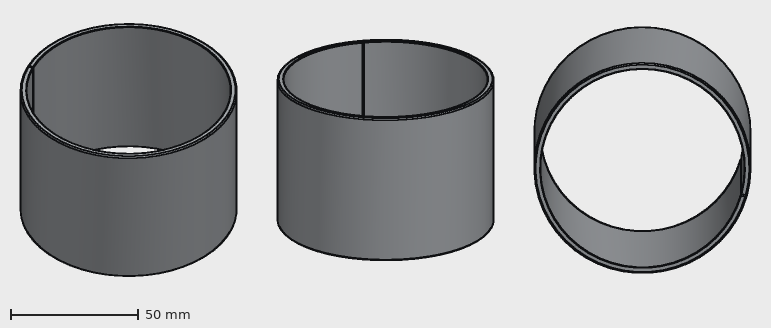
import cadquery as cq

outer_diameter = 85.0
wall = 2.5
height = 60.0
slit_angle = 1.0
outer_chamfer = 0.6
inner_chamfer = 0.25

outer_radius = outer_diameter / 2
inner_radius = outer_radius - wall
half_height = height / 2


def wall_section():
    """Wall cross-section on the -X side, with all four corners chamfered."""
    outer_corner_z = half_height - outer_chamfer
    inner_corner_z = half_height - inner_chamfer
    outer_rim_x = -outer_radius + outer_chamfer
    inner_rim_x = -inner_radius - inner_chamfer
    return (
        cq.Workplane("XZ")
        .moveTo(-outer_radius, -outer_corner_z)
        .lineTo(-outer_radius, outer_corner_z)
        .lineTo(outer_rim_x, half_height)
        .lineTo(inner_rim_x, half_height)
        .lineTo(-inner_radius, inner_corner_z)
        .lineTo(-inner_radius, -inner_corner_z)
        .lineTo(inner_rim_x, -half_height)
        .lineTo(outer_rim_x, -half_height)
        .close()
    )


sleeve_angle = 360 - slit_angle
axis_start = (0, 0, 0)
axis_end = (0, 1, 0)
result = wall_section().revolve(sleeve_angle, axis_start, axis_end)